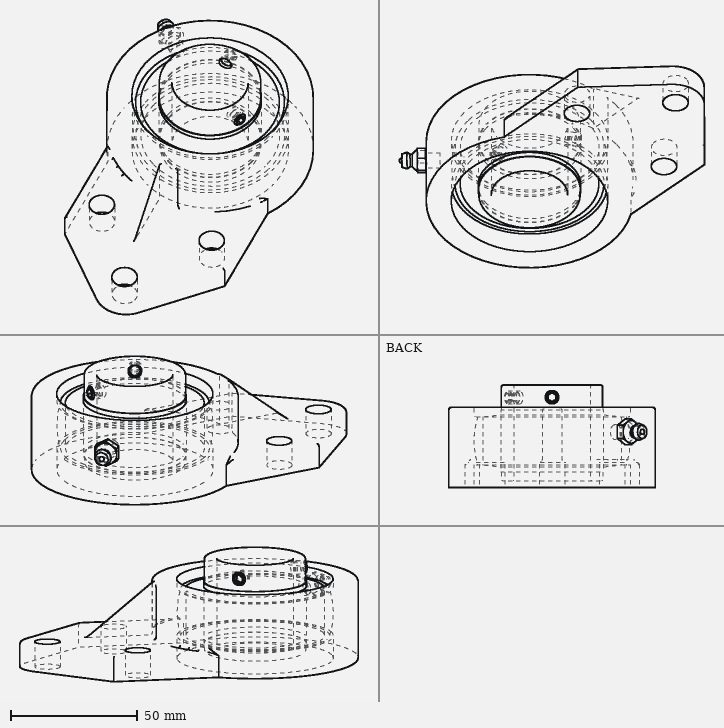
import cadquery as cq
import math


barrel_diameter = 82.0
barrel_radius = barrel_diameter / 2
barrel_height = 32.0
total_length = 136
edge_fillet = 1.2

flange_thickness = 10.0
flange_half_width = 34.7
flange_corner_y = -64.3
tip_radius = 12.5
tip_center_y = barrel_radius - total_length + tip_radius
bolt_hole_diameter = 10.0
bolt_hole_centers = [(-23.8, -52.4), (23.8, -52.4), (0, -84.0)]

rib_width = 7.9
rib_top_inset = 0.3
rib_top_y = -(barrel_radius - rib_top_inset)
rib_toe_y = -68

seat_diameter = 62.0
bearing_center_z = 18.6
outer_ring_width = 19
outer_ring_bore = 55.1
outer_ring_top_z = bearing_center_z + outer_ring_width / 2
outer_ring_bottom_z = bearing_center_z - outer_ring_width / 2
mouth_fillet = 1.0
seal_rise = 0.8

shaft_bore = 30.2
inner_ring_diameter = 40.3
inner_ring_shoulder_diameter = 40.8
inner_ring_shoulder_top_z = 31.0
inner_ring_top_z = 40.8
inner_ring_width = 38.1
inner_ring_bottom_z = inner_ring_top_z - inner_ring_width
inner_ring_fillet = 1.0

screw_diameter = 5.3
screw_z = 35.9
screw_angles = [90, -30]
screw_inner_end = shaft_bore / 2 + 1.0
screw_outer_end = inner_ring_diameter / 2 + 0.5
screw_chamfer = 0.5
screw_socket_width = 3.0
screw_socket_depth = 2.0

nipple_angle = 135
nipple_z = 22.2
nipple_stem_diameter = 6.0
nipple_stem_length = 5.5
nipple_hex_gap = 0.1
nipple_hex_width = 9.0
nipple_hex_height = 3.3
nipple_cone_height = 1.5
nipple_cone_tip_diameter = 6.4
nipple_neck_diameter = 5.0
nipple_neck_start = 46.5
nipple_neck_end = 47.3
nipple_head_diameter = 6.7
nipple_head_widest = 48.5
nipple_head_end = 50.6
nipple_face_diameter = 5.3
nipple_ball_diameter = 2.0


def radial_plane(angle, z, distance=0):
    """Plane at a distance from the shaft axis; its normal points radially outward, its x up."""
    outward_x = math.cos(math.radians(angle))
    outward_y = math.sin(math.radians(angle))
    return cq.Plane(
        origin=(distance * outward_x, distance * outward_y, z),
        xDir=(0, 0, 1),
        normal=(outward_x, outward_y, 0),
    )


def radial_cylinder(angle, z, diameter, start, end):
    """Cylinder along a radial line, between two distances from the shaft axis."""
    return cq.Workplane(radial_plane(angle, z, start)).circle(diameter / 2).extrude(end - start)


def hexagon_corner_diameter(width_across_flats):
    return width_across_flats / math.cos(math.radians(30))


def make_flange():
    """Foot with straight sides that taper to a rounded tip."""
    corner_angle = math.atan2(flange_corner_y - tip_center_y, flange_half_width)
    corner_distance = math.hypot(flange_half_width, flange_corner_y - tip_center_y)
    tangent_angle = corner_angle - math.acos(tip_radius / corner_distance)
    tangent_x = tip_radius * math.cos(tangent_angle)
    tangent_y = tip_center_y + tip_radius * math.sin(tangent_angle)
    return (
        cq.Workplane("XY")
        .moveTo(flange_half_width, 0)
        .lineTo(flange_half_width, flange_corner_y)
        .lineTo(tangent_x, tangent_y)
        .threePointArc((0, tip_center_y - tip_radius), (-tangent_x, tangent_y))
        .lineTo(-flange_half_width, flange_corner_y)
        .lineTo(-flange_half_width, 0)
        .close()
        .extrude(flange_thickness)
    )


def make_rib():
    """Triangular web from the barrel's top edge down to the flange."""
    rib_root_y = -(seat_diameter / 2 + barrel_radius) / 2
    return (
        cq.Workplane("YZ")
        .moveTo(rib_root_y, 0)
        .lineTo(rib_toe_y, 0)
        .lineTo(rib_toe_y, flange_thickness)
        .lineTo(rib_top_y, barrel_height)
        .lineTo(rib_root_y, barrel_height)
        .close()
        .extrude(rib_width / 2, both=True)
    )


def rib_ridges():
    """Selects the two sloping edges of the rib."""
    middle_y = (rib_toe_y + rib_top_y) / 2
    middle_z = (flange_thickness + barrel_height) / 2
    left_ridge = cq.selectors.NearestToPointSelector((-rib_width / 2, middle_y, middle_z))
    right_ridge = cq.selectors.NearestToPointSelector((rib_width / 2, middle_y, middle_z))
    return left_ridge + right_ridge


def make_seat():
    """Space cut out of the housing: spherical seat with an open mouth above and below."""
    mouth_height = barrel_height - outer_ring_top_z
    upper_mouth = (
        cq.Workplane("XY", origin=(0, 0, outer_ring_top_z))
        .circle(seat_diameter / 2)
        .extrude(mouth_height)
        .faces("<Z")
        .edges()
        .fillet(mouth_fillet)
    )
    lower_mouth = cq.Workplane("XY").circle(seat_diameter / 2).extrude(outer_ring_bottom_z)
    return make_ring_blank().union(upper_mouth).union(lower_mouth)


def make_ring_blank():
    """Slice of a ball: the outer ring before it is bored."""
    ball = cq.Workplane("XY", origin=(0, 0, bearing_center_z)).sphere(seat_diameter / 2)
    slab = (
        cq.Workplane("XY", origin=(0, 0, outer_ring_bottom_z))
        .circle(seat_diameter)
        .extrude(outer_ring_width)
    )
    return ball.intersect(slab)


def make_housing():
    barrel = cq.Workplane("XY").circle(barrel_radius).extrude(barrel_height)
    body = barrel.union(make_flange()).union(make_rib())
    flange_top_edges = cq.selectors.BoxSelector(
        (-barrel_radius, -total_length, flange_thickness - 0.1),
        (barrel_radius, 0, flange_thickness + 0.1),
    )
    for edges in (flange_top_edges, rib_ridges(), cq.StringSyntaxSelector(">Z")):
        body = body.edges(edges).fillet(edge_fillet)
    body = body.cut(make_seat())
    bolt_holes = (
        cq.Workplane("XY")
        .pushPoints(bolt_hole_centers)
        .circle(bolt_hole_diameter / 2)
        .extrude(flange_thickness)
    )
    stem_start = barrel_radius - nipple_stem_length
    nipple_hole = radial_cylinder(
        nipple_angle, nipple_z, nipple_stem_diameter, stem_start, barrel_diameter
    )
    return body.cut(bolt_holes).cut(nipple_hole)


def make_outer_ring():
    bore = cq.Workplane("XY").circle(outer_ring_bore / 2).extrude(barrel_height)
    return make_ring_blank().cut(bore)


def make_seal():
    """Fills the space between the rings; both faces rise slightly toward the inner ring."""
    outer = outer_ring_bore / 2
    inner = inner_ring_shoulder_diameter / 2
    return (
        cq.Workplane("XZ")
        .moveTo(outer, outer_ring_bottom_z)
        .lineTo(outer, outer_ring_top_z)
        .lineTo(inner, outer_ring_top_z + seal_rise)
        .lineTo(inner, outer_ring_bottom_z - seal_rise)
        .close()
        .revolve(360, (0, 0, 0), (0, 1, 0))
    )


def make_inner_ring():
    sleeve = (
        cq.Workplane("XY", origin=(0, 0, inner_ring_bottom_z))
        .circle(inner_ring_diameter / 2)
        .circle(shaft_bore / 2)
        .extrude(inner_ring_width)
        .faces(">Z or <Z")
        .edges()
        .fillet(inner_ring_fillet)
    )
    shoulder_bottom_z = 2 * bearing_center_z - inner_ring_shoulder_top_z
    shoulder = (
        cq.Workplane("XY", origin=(0, 0, shoulder_bottom_z))
        .circle(inner_ring_shoulder_diameter / 2)
        .circle(shaft_bore / 2)
        .extrude(inner_ring_shoulder_top_z - shoulder_bottom_z)
    )
    ring = sleeve.union(shoulder)
    for angle in screw_angles:
        ring = ring.cut(radial_cylinder(angle, screw_z, screw_diameter, 0, inner_ring_diameter))
    return ring


def make_set_screw(angle):
    """Headless screw with a hexagon socket in its outer end."""
    screw = radial_cylinder(angle, screw_z, screw_diameter, screw_inner_end, screw_outer_end)
    screw = screw.edges().chamfer(screw_chamfer)
    socket = (
        cq.Workplane(radial_plane(angle, screw_z, screw_outer_end - screw_socket_depth))
        .polygon(6, hexagon_corner_diameter(screw_socket_width))
        .extrude(screw_socket_depth)
    )
    return screw.cut(socket)


def make_nipple():
    """Grease nipple: stem in the housing, hexagon, cone, neck, head and end ball."""
    hex_start = barrel_radius + nipple_hex_gap
    hex_end = hex_start + nipple_hex_height
    cone_end = hex_end + nipple_cone_height
    axis_plane = radial_plane(nipple_angle, nipple_z)
    hexagon = (
        cq.Workplane(radial_plane(nipple_angle, nipple_z, hex_start))
        .polygon(6, hexagon_corner_diameter(nipple_hex_width))
        .extrude(nipple_hex_height)
    )
    stem = radial_cylinder(
        nipple_angle,
        nipple_z,
        nipple_stem_diameter,
        barrel_radius - nipple_stem_length,
        hex_start,
    )
    profile_plane = cq.Plane(
        origin=axis_plane.origin, xDir=axis_plane.xDir, normal=-axis_plane.yDir
    )
    head = (
        cq.Workplane(profile_plane)
        .moveTo(0, hex_start)
        .lineTo(nipple_stem_diameter / 2, hex_start)
        .lineTo(nipple_stem_diameter / 2, hex_end)
        .lineTo(nipple_hex_width / 2, hex_end)
        .lineTo(nipple_cone_tip_diameter / 2, cone_end)
        .lineTo(nipple_neck_diameter / 2, nipple_neck_start)
        .lineTo(nipple_neck_diameter / 2, nipple_neck_end)
        .lineTo(nipple_head_diameter / 2, nipple_head_widest)
        .lineTo(nipple_face_diameter / 2, nipple_head_end)
        .lineTo(0, nipple_head_end)
        .close()
        .revolve(360, (0, 0, 0), (0, 1, 0))
    )
    ball = cq.Workplane(radial_plane(nipple_angle, nipple_z, nipple_head_end)).sphere(
        nipple_ball_diameter / 2
    )
    return hexagon.union(stem).union(head).union(ball)


housing = make_housing()
outer_ring = make_outer_ring()
seal = make_seal()
inner_ring = make_inner_ring()
nipple = make_nipple()
set_screws = [make_set_screw(angle) for angle in screw_angles]

result = cq.Compound.makeCompound(
    [
        housing.val(),
        outer_ring.val(),
        seal.val(),
        inner_ring.val(),
        nipple.val(),
        *[screw.val() for screw in set_screws],
    ]
)